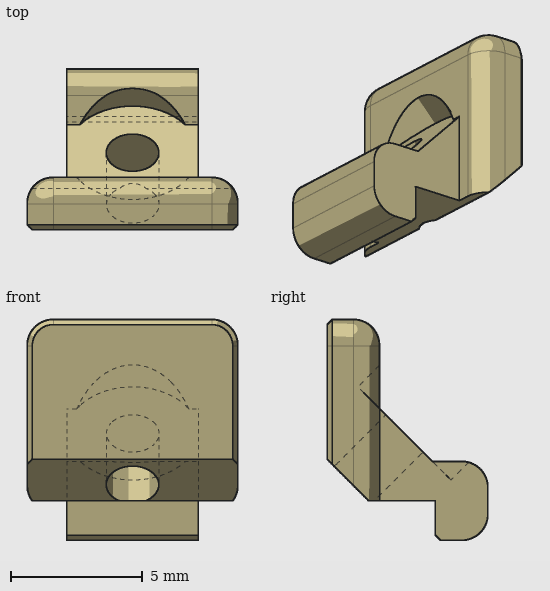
import cadquery as cq

overall_depth = 6.11
overall_height = 8.39
plate_width = 8.0
plate_depth = 2.0
edge_radius = 1.0
edge_chamfer = 0.2

arm_width = 5.0
arm_bottom = 1.5
hook_top = 3.0
hook_depth = 2.005
slope_rise = 2.0
hook_front = overall_depth - hook_depth
slope_foot = plate_depth + slope_rise

bevel_size = 1.585

hole_diameter = 2.0
seat_diameter = 5.0
hole_y = 2.93
hole_z = hook_top + slope_foot - hole_y
cutter_length = overall_height


def make_plate():
    """Plate with rounded back and top corners and a chamfered front."""
    plate_height = overall_height - arm_bottom
    plate = cq.Workplane("XY").box(
        plate_width, plate_depth, plate_height, centered=(True, False, False)
    )
    plate = plate.translate((0, 0, arm_bottom))
    rounded_edges = plate.edges("(|Y and >Z) or (>Y and (not <Z))")
    plate = rounded_edges.fillet(edge_radius)
    return plate.faces("<Y").edges("not <Z").chamfer(edge_chamfer)


def make_arm():
    """Sloping arm that ends in a downward hook."""
    inner_y = plate_depth - edge_radius
    arm = (
        cq.Workplane("YZ")
        .moveTo(inner_y, arm_bottom)
        .lineTo(hook_front, arm_bottom)
        .lineTo(hook_front, 0)
        .lineTo(overall_depth, 0)
        .lineTo(overall_depth, hook_top)
        .lineTo(slope_foot, hook_top)
        .lineTo(plate_depth, hook_top + slope_rise)
        .lineTo(inner_y, hook_top + slope_rise)
        .close()
        .extrude(arm_width / 2, both=True)
    )
    arm = arm.edges("|X and >Y").fillet(edge_radius)
    return arm.faces("<Z").edges("|X and <Y").chamfer(edge_chamfer)


def make_bevel():
    """Wedge removed from the lower front edge of the plate."""
    return (
        cq.Workplane("YZ")
        .moveTo(0, arm_bottom)
        .lineTo(bevel_size, arm_bottom)
        .lineTo(0, arm_bottom + bevel_size)
        .close()
        .extrude(plate_width, both=True)
    )


def make_screw_cut():
    """Through hole with a round clearance above the sloping face."""
    slope_plane = cq.Plane(
        origin=(0, hole_y, hole_z), xDir=(1, 0, 0), normal=(0, 1, 1)
    )
    hole = cq.Workplane(slope_plane).circle(hole_diameter / 2).extrude(cutter_length, both=True)
    seat = cq.Workplane(slope_plane).circle(seat_diameter / 2).extrude(cutter_length)
    return hole.union(seat)


result = make_plate().union(make_arm()).cut(make_bevel()).cut(make_screw_cut())